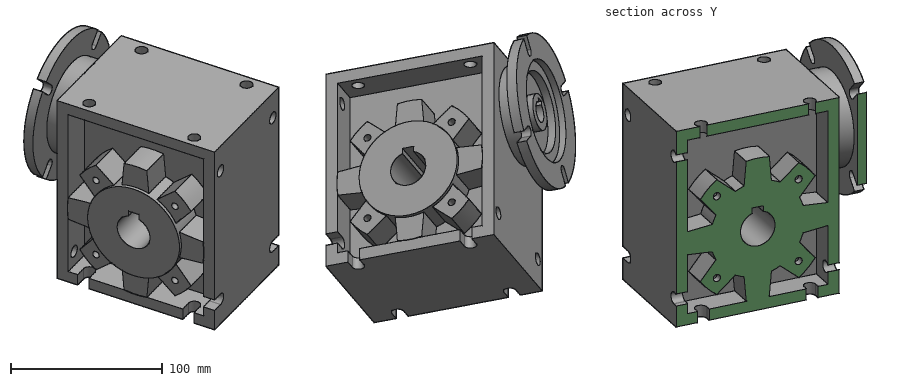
import cadquery as cq
import math


HOUSING_LENGTH = 120.0
HOUSING_WIDTH = 86.0
HOUSING_BOTTOM = -60.0
HOUSING_TOP = 84.0
WALL = 8.5
CORE_WIDTH = 42.0

MOUNT_DIAMETER = 8.5
MOUNT_INSET = 20.0
MOUNT_Y = 35.0

HUB_DIAMETER = 70.0
HUB_WIDTH = 92.0
OUTPUT_BORE = 25.0
OUTPUT_KEY_WIDTH = 8.0
OUTPUT_KEY_TOP = 15.8
LUG_COUNT = 8
LUG_CIRCLE = 104.0
LUG_FACES = 87.0
LUG_END_WIDTH = 17.2
LUG_TAPER = 5.0
COVER_HOLE_DIAMETER = 4.92
COVER_HOLE_CIRCLE = 85.0
COVER_HOLE_DEPTH = 10.0
DRILL_POINT_ANGLE = 118.0

INPUT_Z = 50.0
NECK_DIAMETER = 68.0
FLANGE_DIAMETER = 105.0
FLANGE_FACE_X = -80.0
FLANGE_THICKNESS = 7.0
SLOT_WIDTH = 7.0
SLOT_CIRCLE = 85.0
PILOT_DIAMETER = 70.0
PILOT_DEPTH = 4.5
RECESS_DIAMETER = 56.0
RECESS_DEPTH = 10.0
INPUT_BOSS_DIAMETER = 25.0
INPUT_BOSS_HEIGHT = 5.5
INPUT_BORE = 14.0
INPUT_KEY_WIDTH = 5.0
INPUT_KEY_TOP = 9.3
INPUT_BORE_DEPTH = 40.0

DIAGONALS = (45, 135, 225, 315)

HALF_LENGTH = HOUSING_LENGTH / 2
HALF_WIDTH = HOUSING_WIDTH / 2
HOUSING_HEIGHT = HOUSING_TOP - HOUSING_BOTTOM
HOUSING_MID_Z = (HOUSING_TOP + HOUSING_BOTTOM) / 2
POCKET_DEPTH = (HOUSING_WIDTH - CORE_WIDTH) / 2
MOUNT_X = HALF_LENGTH - MOUNT_INSET
MOUNT_LOW_Z = HOUSING_BOTTOM + MOUNT_INSET
MOUNT_HIGH_Z = HOUSING_TOP - MOUNT_INSET


def y_cylinder(diameter, width):
    """Cylinder on the output axis, centred on the XZ plane."""
    return cq.Workplane("XZ").circle(diameter / 2).extrude(width / 2, both=True)


def input_cylinder(diameter, start_x, length):
    """Cylinder on the input axis, running toward +X from start_x."""
    return cq.Workplane("YZ", origin=(start_x, 0, INPUT_Z)).circle(diameter / 2).extrude(length)


def housing_shell():
    """Box with one open pocket on each Y side."""
    shell = cq.Workplane("XY").box(HOUSING_LENGTH, HOUSING_WIDTH, HOUSING_HEIGHT)
    for side in (-1, 1):
        pocket_y = side * (CORE_WIDTH + POCKET_DEPTH) / 2
        pocket = cq.Workplane("XY").box(HOUSING_LENGTH - 2 * WALL, POCKET_DEPTH, HOUSING_HEIGHT - 2 * WALL)
        shell = shell.cut(pocket.translate((0, pocket_y, 0)))
    return shell.translate((0, 0, HOUSING_MID_Z))


def mount_cutter(open_side):
    """Vertical wall cutter: a round hole (open_side 0) or a slot open toward -Y (-1) or +Y (1)."""
    cutter = cq.Workplane("XY").circle(MOUNT_DIAMETER / 2).extrude(WALL)
    if open_side:
        run = HALF_WIDTH - MOUNT_Y
        channel = cq.Workplane("XY").center(0, open_side * run / 2).rect(MOUNT_DIAMETER, run).extrude(WALL)
        cutter = cutter.union(channel)
    return cutter


def cut_mounts(body):
    """Round holes in the top wall and the end walls, open slots in the bottom and low on the +X wall."""
    for side in (-1, 1):
        hole = mount_cutter(0)
        slot = mount_cutter(side)
        y = side * MOUNT_Y
        for x in (-MOUNT_X, MOUNT_X):
            body = body.cut(hole.translate((x, y, HOUSING_TOP - WALL)))
            body = body.cut(slot.translate((x, y, HOUSING_BOTTOM)))
        hole_x = hole.rotate((0, 0, 0), (0, 1, 0), 90)
        slot_x = slot.rotate((0, 0, 0), (0, 1, 0), 90)
        body = body.cut(hole_x.translate((-HALF_LENGTH, y, MOUNT_LOW_Z)))
        body = body.cut(slot_x.translate((HALF_LENGTH - WALL, y, MOUNT_LOW_Z)))
        body = body.cut(hole_x.translate((HALF_LENGTH - WALL, y, MOUNT_HIGH_Z)))
    return body


def lug_star():
    """Tapered lugs with the hub between them, rounded off on the lug circle."""
    end_radius = LUG_CIRCLE / 2
    end_half = LUG_END_WIDTH / 2
    root_half = end_half + end_radius * math.tan(math.radians(LUG_TAPER))
    profile = [(0, -root_half), (end_radius, -end_half), (end_radius, end_half), (0, root_half)]
    lug = cq.Workplane("XZ").polyline(profile).close().extrude(LUG_FACES / 2, both=True)
    star = y_cylinder(HUB_DIAMETER, LUG_FACES)
    for i in range(LUG_COUNT):
        star = star.union(lug.rotate((0, 0, 0), (0, 1, 0), i * 360 / LUG_COUNT))
    return star.intersect(y_cylinder(LUG_CIRCLE, LUG_FACES))


def cover_holes():
    """Blind drilled holes in the diagonal lugs, on both Y sides."""
    radius = COVER_HOLE_DIAMETER / 2
    tip = COVER_HOLE_DEPTH + radius / math.tan(math.radians(DRILL_POINT_ANGLE / 2))
    half_section = [(0, 0), (radius, 0), (radius, COVER_HOLE_DEPTH), (0, tip)]
    drill = cq.Workplane("XY").polyline(half_section).close().revolve(360, (0, 0, 0), (0, 1, 0))
    front = drill.translate((COVER_HOLE_CIRCLE / 2, -LUG_FACES / 2, 0))
    cutters = []
    for drilled in (front, front.mirror("XZ")):
        for angle in DIAGONALS:
            cutters.append(drilled.rotate((0, 0, 0), (0, 1, 0), angle))
    return cutters


def output_bore():
    """Through bore with its key slot at the top."""
    key = cq.Workplane("XY").box(OUTPUT_KEY_WIDTH, HUB_WIDTH, OUTPUT_KEY_TOP, centered=(True, True, False))
    return y_cylinder(OUTPUT_BORE, HUB_WIDTH).union(key)


def flange_slots():
    """Four diagonal slots, open at the flange rim."""
    end_radius = SLOT_CIRCLE / 2
    run = FLANGE_DIAMETER / 2
    plane = cq.Workplane("YZ", origin=(FLANGE_FACE_X, 0, 0))
    slot = plane.center(end_radius, 0).circle(SLOT_WIDTH / 2).extrude(FLANGE_THICKNESS)
    channel = plane.center(end_radius + run / 2, 0).rect(run, SLOT_WIDTH).extrude(FLANGE_THICKNESS)
    slot = slot.union(channel)
    cutters = []
    for angle in DIAGONALS:
        turned = slot.rotate((0, 0, 0), (1, 0, 0), angle)
        cutters.append(turned.translate((0, 0, INPUT_Z)))
    return cutters


def input_flange():
    """Slotted flange and the neck that joins it to the housing."""
    flange = input_cylinder(FLANGE_DIAMETER, FLANGE_FACE_X, FLANGE_THICKNESS)
    for slot in flange_slots():
        flange = flange.cut(slot)
    neck_length = -HALF_LENGTH - FLANGE_FACE_X
    return flange.union(input_cylinder(NECK_DIAMETER, FLANGE_FACE_X, neck_length))


def input_cavity():
    """Stepped recess in the flange face around the input boss, and the keyed blind bore."""
    pilot = input_cylinder(PILOT_DIAMETER, FLANGE_FACE_X, PILOT_DEPTH)
    recess = input_cylinder(RECESS_DIAMETER, FLANGE_FACE_X, RECESS_DEPTH)
    boss_start = FLANGE_FACE_X + RECESS_DEPTH - INPUT_BOSS_HEIGHT
    boss = input_cylinder(INPUT_BOSS_DIAMETER, boss_start, INPUT_BOSS_HEIGHT)
    bore = input_cylinder(INPUT_BORE, FLANGE_FACE_X, INPUT_BORE_DEPTH)
    key = cq.Workplane("XY").box(INPUT_BORE_DEPTH, INPUT_KEY_WIDTH, INPUT_KEY_TOP, centered=(False, True, False))
    key = key.translate((FLANGE_FACE_X, 0, INPUT_Z))
    return pilot.union(recess).cut(boss).union(bore).union(key)


result = cut_mounts(housing_shell())
result = result.union(y_cylinder(HUB_DIAMETER, HUB_WIDTH)).union(lug_star())
for hole in cover_holes():
    result = result.cut(hole)
result = result.cut(output_bore())
result = result.union(input_flange()).cut(input_cavity())